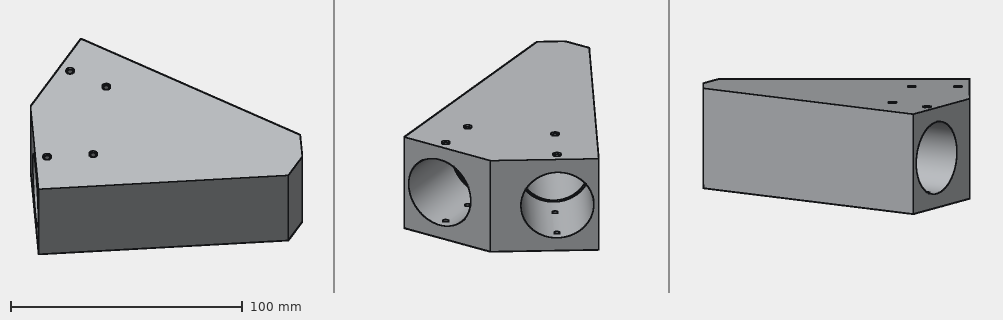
import cadquery as cq
import math

length = 116.0
width = 82.7
height = 44.0
corner_x = 26.2
end_face = 43.8
tip_bottom_y = -22.4
tip_top_y = -10.1
tip_top_x = 109.2

mouth_diameter = 31.5
mouth_depth = 35.0
passage_diameter = 29.9
straight_axis_y = -18.1
slanted_mouth_x = 16.1
slanted_mouth_y = -67.9

screw_diameter = 2.4
screw_head_diameter = 3.6
countersink_depth = (screw_head_diameter - screw_diameter) / 2
straight_screw_offsets = (5.0, 23.0)
slanted_screw_offsets = (5.1, 25.0)

slant_angle = math.atan2(corner_x, width - end_face)
straight_mouth = (0.0, straight_axis_y)
slanted_mouth = (slanted_mouth_x, slanted_mouth_y)
slanted_run = (straight_axis_y - slanted_mouth_y) / math.sin(slant_angle)
crossing = (slanted_mouth_x + slanted_run * math.cos(slant_angle), straight_axis_y)


def make_block():
    outline = [
        (0, 0),
        (0, -end_face),
        (corner_x, -width),
        (length, tip_bottom_y),
        (length, tip_top_y),
        (tip_top_x, 0),
    ]
    return cq.Workplane("XY").polyline(outline).close().extrude(height / 2, both=True)


def point_along(mouth, angle, distance):
    """Point on a bore axis at a distance in from its mouth."""
    return (mouth[0] + distance * math.cos(angle), mouth[1] + distance * math.sin(angle))


def make_bore(mouth, angle):
    """Wide mouth followed by a narrower passage up to the crossing of the axes."""
    start = cq.Vector(*mouth, 0)
    direction = cq.Vector(math.cos(angle), math.sin(angle), 0)
    passage_length = math.dist(mouth, crossing)
    wide = cq.Solid.makeCylinder(mouth_diameter / 2, mouth_depth, start, direction)
    narrow = cq.Solid.makeCylinder(passage_diameter / 2, passage_length, start, direction)
    return cq.Workplane(wide).union(cq.Workplane(narrow))


def make_crossing_chamber():
    """Upright closed cylinder that rounds off the junction of the two bores."""
    chamber = cq.Workplane("XY").center(*crossing).circle(passage_diameter / 2)
    return chamber.extrude(passage_diameter / 2, both=True)


def make_screw_holes(points):
    shafts = cq.Workplane("XY").pushPoints(points).circle(screw_diameter / 2)
    holes = shafts.extrude(height / 2, both=True)
    top_radius = screw_head_diameter / 2
    bottom_radius = screw_diameter / 2
    for x, y in points:
        rim = cq.Vector(x, y, height / 2)
        sink = cq.Solid.makeCone(top_radius, bottom_radius, countersink_depth, rim, cq.Vector(0, 0, -1))
        holes = holes.union(cq.Workplane(sink))
    return holes


result = make_block().cut(make_crossing_chamber())
for mouth, angle, offsets in (
    (straight_mouth, 0.0, straight_screw_offsets),
    (slanted_mouth, slant_angle, slanted_screw_offsets),
):
    screw_points = [point_along(mouth, angle, offset) for offset in offsets]
    result = result.cut(make_bore(mouth, angle))
    result = result.cut(make_screw_holes(screw_points))